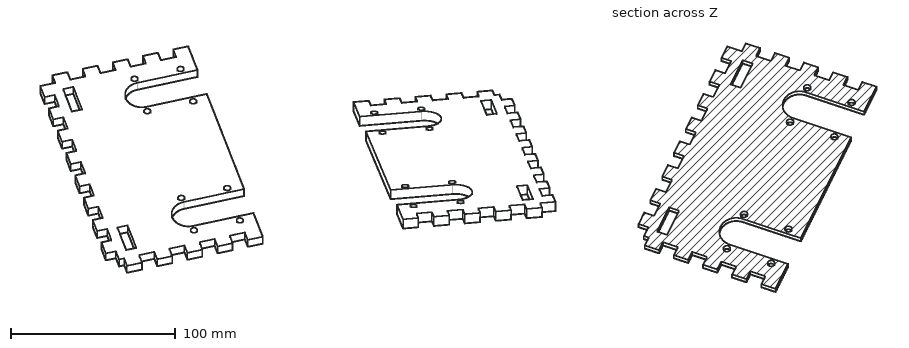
import cadquery as cq

plate_width = 162.56
plate_depth = 95.25
thickness = 6.35

side_tab_count = 5
front_tab_count = 8
finger_width = plate_depth / (2 * side_tab_count)
finger_length = thickness

slot_width = 20.32
slot_offset = 50.8
slot_straight_length = 38.1

hole_diameter = 4.064
hole_spacing_x = 27.6
hole_spacing_y = 29.0
hole_back_margin = 9.65

window_length = 2 * finger_width
window_width = thickness
window_side_margin = 2 * finger_length
window_back_margin = 2 * (side_tab_count - 1) * finger_width

right_x = plate_width / 2
back_y = plate_depth / 2
front_y = -back_y
body_width = plate_width - 2 * finger_length
body_depth = plate_depth - finger_length
finger_pitch = 2 * finger_width


def block(center_x, center_y, size_x, size_y):
    """Full-thickness rectangular block standing on Z = 0."""
    return (
        cq.Workplane("XY")
        .center(center_x, center_y)
        .rect(size_x, size_y)
        .extrude(thickness)
    )


def make_body():
    """Plain sheet inside the fingers."""
    return block(0, back_y - body_depth / 2, body_width, body_depth)


def add_side_tabs(plate):
    """Tabs down both sides, the first flush with the back edge; each pair is one full-width bar."""
    for index in range(side_tab_count):
        tab_y = back_y - finger_width / 2 - index * finger_pitch
        plate = plate.union(block(0, tab_y, plate_width, finger_width))
    return plate


def add_front_tabs(plate):
    """Tabs along the front edge, the first flush with the left side of the body."""
    first_x = -body_width / 2 + finger_width / 2
    tab_y = front_y + finger_length / 2
    for index in range(front_tab_count):
        tab_x = first_x + index * finger_pitch
        plate = plate.union(block(tab_x, tab_y, finger_width, finger_length))
    return plate


def cut_slot(plate, slot_x):
    """U-shaped slot with a round inner end."""
    end_y = back_y - slot_straight_length
    round_end = cq.Workplane("XY").center(slot_x, end_y).circle(slot_width / 2).extrude(thickness)
    straight = block(slot_x, back_y - slot_straight_length / 2, slot_width, slot_straight_length)
    return plate.cut(straight).cut(round_end)


def cut_slot_holes(plate, slot_x):
    """Four through holes in a rectangle around a slot."""
    pattern_y = back_y - hole_back_margin - hole_spacing_y / 2
    holes = (
        cq.Workplane("XY")
        .center(slot_x, pattern_y)
        .rect(hole_spacing_x, hole_spacing_y, forConstruction=True)
        .vertices()
        .circle(hole_diameter / 2)
        .extrude(thickness)
    )
    return plate.cut(holes)


def cut_window(plate, side):
    """Rectangular through window near a front corner."""
    window_x = side * (right_x - window_side_margin - window_length / 2)
    window_y = back_y - window_back_margin - window_width / 2
    return plate.cut(block(window_x, window_y, window_length, window_width))


result = make_body()
result = add_side_tabs(result)
result = add_front_tabs(result)
result = result.clean()
for side in (-1, 1):
    result = cut_slot(result, side * slot_offset)
    result = cut_slot_holes(result, side * slot_offset)
    result = cut_window(result, side)